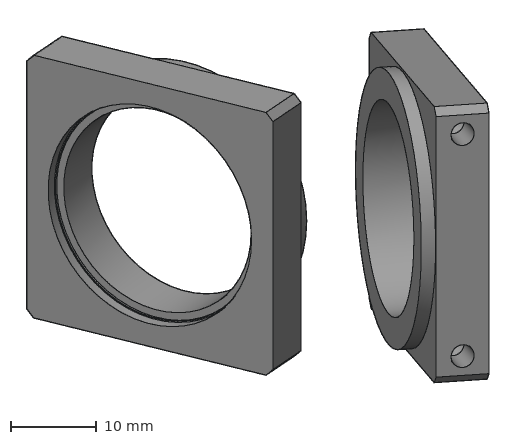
import cadquery as cq
import math

plate_side = 33.53
plate_thickness = 6.35
corner_chamfer = 0.95
lip_opening_diameter = 27.7
lip_thickness = 1.4

total_depth = 8.06
flange_thickness = total_depth - plate_thickness
flange_diameter = 33.0
sleeve_diameter = 29.0
sleeve_length = plate_thickness - lip_thickness
ring_bore_diameter = 25.5
seat_diameter = 27.4
seat_depth = 0.3

screw_hole_diameter = 2.75
screw_hole_depth = 5.0
screw_hole_spacing = 26.95
drill_point_angle = 118.0



def cylinder_along_y(diameter, start_y, length):
    """Cylinder on the ring axis, running towards +Y from start_y."""
    plane = cq.Workplane("XZ", origin=(0, start_y, 0))
    return plane.circle(diameter / 2).extrude(-length)


def screw_hole_cutter(center_z):
    """Drilled blind hole with a conical bottom, entering from the -X side."""
    radius = screw_hole_diameter / 2
    point_length = radius / math.tan(math.radians(drill_point_angle / 2))
    entry_x = -plate_side / 2
    bottom_x = entry_x + screw_hole_depth
    profile = (
        cq.Workplane("XY", origin=(0, plate_thickness / 2, center_z))
        .moveTo(entry_x, 0)
        .lineTo(entry_x, radius)
        .lineTo(bottom_x, radius)
        .lineTo(bottom_x + point_length, 0)
        .close()
    )
    return profile.revolve(360, (0, 0, 0), (1, 0, 0))


def make_plate():
    """Square plate with chamfered corners, a bore behind a front lip and two side holes."""
    block = (
        cq.Workplane("XZ")
        .rect(plate_side, plate_side)
        .extrude(-plate_thickness)
        .edges("|Y")
        .chamfer(corner_chamfer)
    )
    lip_opening = cylinder_along_y(lip_opening_diameter, 0, plate_thickness)
    sleeve_bore = cylinder_along_y(sleeve_diameter, lip_thickness, sleeve_length)
    body = block.cut(lip_opening).cut(sleeve_bore)
    for side in (-1, 1):
        body = body.cut(screw_hole_cutter(side * screw_hole_spacing / 2))
    return body


def make_ring():
    """Sleeve filling the plate's bore, with a back flange and a shallow seat at the front."""
    sleeve = cylinder_along_y(sleeve_diameter, lip_thickness, sleeve_length)
    flange = cylinder_along_y(flange_diameter, plate_thickness, flange_thickness)
    bore = cylinder_along_y(ring_bore_diameter, 0, total_depth)
    seat = cylinder_along_y(seat_diameter, lip_thickness, seat_depth)
    return sleeve.union(flange).cut(bore).cut(seat)


plate = make_plate()
ring = make_ring()

result = cq.Compound.makeCompound([plate.val(), ring.val()])